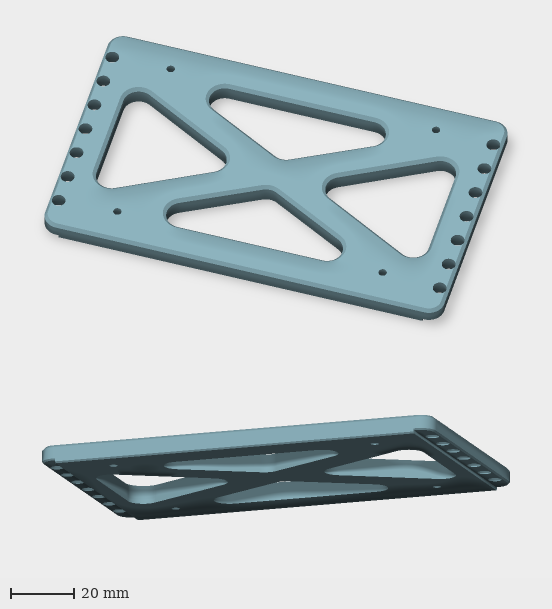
import cadquery as cq

LENGTH = 131.0
WIDTH = 80.0
HEIGHT = 6.0
CORNER_RADIUS = 5.0
TOP_CHAMFER = 1.0
BOTTOM_CHAMFER = 0.5

PAD_LENGTH = 119.5
PAD_DEPTH = 1.0
PLATE_THICKNESS = HEIGHT - PAD_DEPTH

EDGE_HOLE_DIAMETER = 4.3
EDGE_HOLE_COUNT = 7
EDGE_ROW_SPACING = 125.1
EDGE_ROW_SPAN = 60.0
EDGE_HOLE_PITCH = EDGE_ROW_SPAN / (EDGE_HOLE_COUNT - 1)

MOUNT_HOLE_DIAMETER = 2.6
MOUNT_SPACING_X = 87.1
MOUNT_SPACING_Y = 59.7
MOUNT_OFFSET_Y = 0.8

WINDOW_RADIUS = 5.0
WINDOW_CHAMFER = 1.0
END_BASE_X = 49.5
END_BASE_HALF_WIDTH = 15.0
END_TIP_X = 21.4
SIDE_BASE_Y = 24.0
SIDE_BASE_HALF_WIDTH = 23.8
SIDE_TIP_Y = 11.4


def plate():
    """Rounded plate with a pad below it; the bottom of the pad lies at Z = 0."""
    body = (
        cq.Workplane("XY", origin=(0, 0, PAD_DEPTH))
        .rect(LENGTH, WIDTH)
        .extrude(PLATE_THICKNESS)
        .edges("|Z")
        .fillet(CORNER_RADIUS)
    )
    body = body.faces(">Z").chamfer(TOP_CHAMFER)
    body = body.faces("<Z").chamfer(BOTTOM_CHAMFER)
    pad = (
        cq.Workplane("XY")
        .rect(PAD_LENGTH, WIDTH)
        .extrude(PAD_DEPTH + BOTTOM_CHAMFER)
        .edges("|X and <Z")
        .chamfer(BOTTOM_CHAMFER)
    )
    return body.union(pad)


def window(corner_centres):
    """Cutter for a rounded triangle whose upper rim is chamfered."""
    top = cq.Workplane("XY", origin=(0, 0, HEIGHT))
    through = (
        top.polyline(corner_centres)
        .close()
        .offset2D(WINDOW_RADIUS)
        .extrude(-HEIGHT)
    )
    rim = (
        top.polyline(corner_centres)
        .close()
        .offset2D(WINDOW_RADIUS + WINDOW_CHAMFER)
        .extrude(-WINDOW_CHAMFER, taper=45)
    )
    return through.union(rim)


def end_window(side):
    """Window with its base along a short end; side is -1 or 1."""
    base_x = side * END_BASE_X
    return window([
        (base_x, -END_BASE_HALF_WIDTH),
        (base_x, END_BASE_HALF_WIDTH),
        (side * END_TIP_X, 0),
    ])


def side_window(side):
    """Window with its base along a long side; side is -1 or 1."""
    base_y = side * SIDE_BASE_Y
    return window([
        (-SIDE_BASE_HALF_WIDTH, base_y),
        (SIDE_BASE_HALF_WIDTH, base_y),
        (0, side * SIDE_TIP_Y),
    ])


def edge_holes():
    """Cutters for the row of holes along each short end."""
    return (
        cq.Workplane("XY")
        .rarray(EDGE_ROW_SPACING, EDGE_HOLE_PITCH, 2, EDGE_HOLE_COUNT)
        .circle(EDGE_HOLE_DIAMETER / 2)
        .extrude(HEIGHT)
    )


def mount_holes():
    """Cutters for the mounting holes, whose pattern sits slightly off the plate's centre in Y."""
    return (
        cq.Workplane("XY")
        .center(0, MOUNT_OFFSET_Y)
        .rarray(MOUNT_SPACING_X, MOUNT_SPACING_Y, 2, 2)
        .circle(MOUNT_HOLE_DIAMETER / 2)
        .extrude(HEIGHT)
    )


result = plate().cut(edge_holes()).cut(mount_holes())
for side in (-1, 1):
    result = result.cut(end_window(side)).cut(side_window(side))